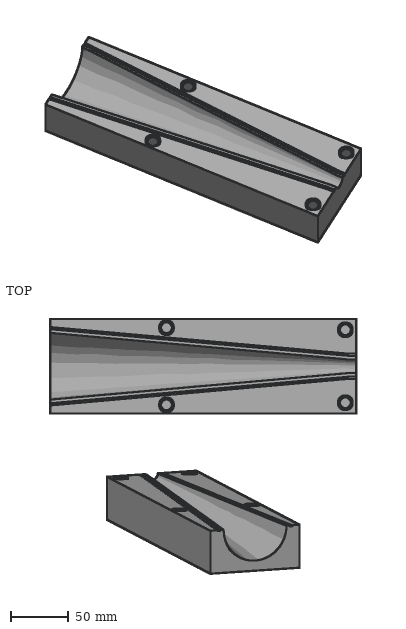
import cadquery as cq

length = 266.7
width = 82.7
height = 38.1

mouth_radius = 29.0
throat_radius = 6.0
throat_length = 6.5
taper_length = length - throat_length

land_width = 3.2
groove_width = 2.0
groove_depth = 0.8

hole_radius = 4.8
hole_depth = 16.0
counterbore_radius = 6.5
counterbore_depth = 1.3
middle_hole_x = 101.3
middle_hole_y = 33.5
end_hole_x = 257.0
end_hole_y = 31.7


def make_block():
    block = cq.Workplane("XY").box(length, width, height, centered=(False, True, False))
    return block.translate((0, 0, -height))


def make_channel():
    """Round body about the X axis, with its seam at the bottom; its lower half forms the channel."""
    half_profile = [
        (0, 0),
        (0, -mouth_radius),
        (taper_length, -throat_radius),
        (length, -throat_radius),
        (length, 0),
    ]
    return cq.Workplane("XZ").polyline(half_profile).close().revolve(360, (0, 0, 0), (1, 0, 0))


def make_groove(side):
    """Groove following the channel edge; side is +1 or -1 along Y."""
    inner_mouth = mouth_radius + land_width
    inner_throat = throat_radius + land_width
    outline = [
        (0, side * inner_mouth),
        (taper_length, side * inner_throat),
        (length, side * inner_throat),
        (length, side * (inner_throat + groove_width)),
        (taper_length, side * (inner_throat + groove_width)),
        (0, side * (inner_mouth + groove_width)),
    ]
    return cq.Workplane("XY").polyline(outline).close().extrude(-groove_depth)


def make_holes():
    centres = [
        (x, side * y)
        for x, y in ((middle_hole_x, middle_hole_y), (end_hole_x, end_hole_y))
        for side in (-1, 1)
    ]
    layout = cq.Workplane("XY").pushPoints(centres)
    bores = layout.circle(hole_radius).extrude(-hole_depth)
    counterbores = layout.circle(counterbore_radius).extrude(-counterbore_depth)
    return bores.union(counterbores)


result = make_block().cut(make_channel())
for side in (-1, 1):
    result = result.cut(make_groove(side))
result = result.cut(make_holes())